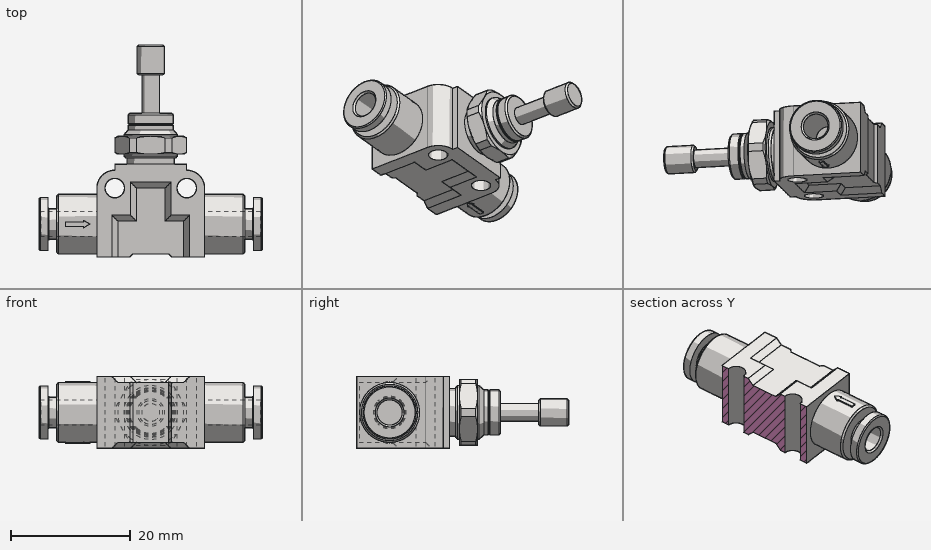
import cadquery as cq
import math


body_half_width = 9.0
body_thickness = 12.0
body_half_thickness = body_thickness / 2
body_front_y = -5.5
mount_hole_diameter = 3.2
mount_hole_x = 6.0
mount_hole_y = 6.0
corner_radius = body_half_width - mount_hole_x
shoulder_y = mount_hole_y + corner_radius
neck_face_y = 10.0
front_notch_half_width = 3.5
front_notch_depth = 0.5

recess_depth = 1.0
recess_stem_half_width = 3.4
recess_stem_top_y = 7.0
recess_foot_half_width = 6.5
recess_foot_top_y = 1.5

port_radius = 5.0
port_end_x = 15.7
port_chamfer = 0.3
ring_outer_x = 18.6
ring_thickness = 1.5
ring_radius = 4.45
ring_chamfer = 0.2
ring_root_chamfer = 0.15
sleeve_radius = 2.575
bore_radius = 2.1
bore_mouth_radius = 2.4

arrow_tail_x = -14.2
arrow_neck_x = -11.2
arrow_tip_x = -10.15
arrow_shaft_half_width = 0.38
arrow_head_half_width = 0.62
arrow_height = 0.2

neck_radius = 4.0
collar_y = 11.0
collar_radius = 4.5
collar_chamfer = 0.35
collar_cone_start_y = 14.9
collar_cone_end_y = 15.7
cap_radius = 3.8
cap_top_y = 18.5
cap_chamfer = 0.3
groove_start_y = 16.4
groove_width = 0.35
groove_depth = 0.15
rod_radius = 1.5
knob_start_y = 24.85
knob_end_y = 29.89
knob_radius = 2.3
knob_chamfer = 0.3

nut_start_y = 11.65
nut_thickness = 3.0
nut_sides = 6
nut_across_flats = 11.0
nut_corner_radius = 6.0
nut_bevel_angle = 30.0


def make_body():
    """Block with rounded shoulders, a raised neck face and a shallow notch in the -Y face."""
    notch_floor_half_width = front_notch_half_width - front_notch_depth
    notch_floor_y = body_front_y + front_notch_depth
    block = (
        cq.Workplane("XY", origin=(0, 0, -body_half_thickness))
        .moveTo(-body_half_width, body_front_y)
        .lineTo(-front_notch_half_width, body_front_y)
        .lineTo(-notch_floor_half_width, notch_floor_y)
        .lineTo(notch_floor_half_width, notch_floor_y)
        .lineTo(front_notch_half_width, body_front_y)
        .lineTo(body_half_width, body_front_y)
        .lineTo(body_half_width, mount_hole_y)
        .radiusArc((mount_hole_x, shoulder_y), -corner_radius)
        .lineTo(mount_hole_x, neck_face_y)
        .lineTo(-mount_hole_x, neck_face_y)
        .lineTo(-mount_hole_x, shoulder_y)
        .radiusArc((-body_half_width, mount_hole_y), -corner_radius)
        .close()
        .extrude(body_thickness)
    )
    holes = (
        cq.Workplane("XY", origin=(0, 0, -body_half_thickness))
        .pushPoints([(-mount_hole_x, mount_hole_y), (mount_hole_x, mount_hole_y)])
        .circle(mount_hole_diameter / 2)
        .extrude(body_thickness)
    )
    return block.cut(holes)


def tapered_prism(half_width, top_y):
    """Recess cutter reaching past the -Y face; its side and +Y walls slope inward at 45 degrees."""
    length_y = 2 * (top_y - body_front_y)
    return (
        cq.Workplane("XY", origin=(0, top_y - length_y / 2, body_half_thickness))
        .rect(2 * half_width, length_y)
        .workplane(offset=-recess_depth)
        .rect(2 * (half_width - recess_depth), length_y - 2 * recess_depth)
        .loft(ruled=True)
    )


def make_recess():
    """T-shaped cutter for the +Z face."""
    stem = tapered_prism(recess_stem_half_width, recess_stem_top_y)
    foot = tapered_prism(recess_foot_half_width, recess_foot_top_y)
    return stem.union(foot)


def make_port():
    """Port on the +X side: barrel, release sleeve and flanged ring, turned about X.

    The bore is bottomed by the side face of the block.
    """
    ring_inner_x = ring_outer_x - ring_thickness
    bore_chamfer = bore_mouth_radius - bore_radius
    return (
        cq.Workplane("XY")
        .moveTo(body_half_width, bore_radius)
        .lineTo(body_half_width, port_radius)
        .lineTo(port_end_x - port_chamfer, port_radius)
        .lineTo(port_end_x, port_radius - port_chamfer)
        .lineTo(port_end_x, sleeve_radius)
        .lineTo(ring_inner_x - ring_root_chamfer, sleeve_radius)
        .lineTo(ring_inner_x, sleeve_radius + ring_root_chamfer)
        .lineTo(ring_inner_x, ring_radius)
        .lineTo(ring_outer_x - ring_chamfer, ring_radius)
        .lineTo(ring_outer_x, ring_radius - ring_chamfer)
        .lineTo(ring_outer_x, bore_mouth_radius)
        .lineTo(ring_outer_x - bore_chamfer, bore_radius)
        .close()
        .revolve(360, (0, 0, 0), (1, 0, 0))
    )


def make_arrow():
    """Flow arrow pointing to +X, standing on the +Z side of the left port."""
    root_z = port_radius - arrow_height
    return (
        cq.Workplane("XY", origin=(0, 0, root_z))
        .moveTo(arrow_tail_x, -arrow_shaft_half_width)
        .lineTo(arrow_neck_x, -arrow_shaft_half_width)
        .lineTo(arrow_neck_x, -arrow_head_half_width)
        .lineTo(arrow_tip_x, 0)
        .lineTo(arrow_neck_x, arrow_head_half_width)
        .lineTo(arrow_neck_x, arrow_shaft_half_width)
        .lineTo(arrow_tail_x, arrow_shaft_half_width)
        .close()
        .extrude(2 * arrow_height)
    )


def make_stem():
    """Neck, collar, grooved cap, rod and knob, turned about Y."""
    groove_radius = cap_radius - groove_depth
    return (
        cq.Workplane("XY")
        .moveTo(0, shoulder_y)
        .lineTo(neck_radius, shoulder_y)
        .lineTo(neck_radius, collar_y)
        .lineTo(collar_radius - collar_chamfer, collar_y)
        .lineTo(collar_radius, collar_y + collar_chamfer)
        .lineTo(collar_radius, collar_cone_start_y)
        .lineTo(cap_radius, collar_cone_end_y)
        .lineTo(cap_radius, groove_start_y)
        .lineTo(groove_radius, groove_start_y)
        .lineTo(groove_radius, groove_start_y + groove_width - groove_depth)
        .lineTo(cap_radius, groove_start_y + groove_width)
        .lineTo(cap_radius, cap_top_y - cap_chamfer)
        .lineTo(cap_radius - cap_chamfer, cap_top_y)
        .lineTo(rod_radius, cap_top_y)
        .lineTo(rod_radius, knob_start_y)
        .lineTo(knob_radius - knob_chamfer, knob_start_y)
        .lineTo(knob_radius, knob_start_y + knob_chamfer)
        .lineTo(knob_radius, knob_end_y - knob_chamfer)
        .lineTo(knob_radius - knob_chamfer, knob_end_y)
        .lineTo(0, knob_end_y)
        .close()
        .revolve(360, (0, 0, 0), (0, 1, 0))
    )


def make_nut():
    """Hexagon nut with flats facing +Z and -Z, its corners turned round and bevelled."""
    nut_end_y = nut_start_y + nut_thickness
    flat_radius = nut_across_flats / 2
    bevel_length = (nut_corner_radius - flat_radius) * math.tan(math.radians(nut_bevel_angle))
    hexagon = (
        cq.Workplane("XZ", origin=(0, nut_start_y, 0))
        .polygon(nut_sides, nut_across_flats, circumscribed=True)
        .extrude(-nut_thickness)
        .rotate((0, 0, 0), (0, 1, 0), 180 / nut_sides)
    )
    turned_blank = (
        cq.Workplane("XY")
        .moveTo(0, nut_start_y)
        .lineTo(flat_radius, nut_start_y)
        .lineTo(nut_corner_radius, nut_start_y + bevel_length)
        .lineTo(nut_corner_radius, nut_end_y - bevel_length)
        .lineTo(flat_radius, nut_end_y)
        .lineTo(0, nut_end_y)
        .close()
        .revolve(360, (0, 0, 0), (0, 1, 0))
    )
    return hexagon.intersect(turned_blank)


recess = make_recess()
port = make_port()
arrow = make_arrow()

body = make_body().cut(recess).cut(recess.mirror("XY"))
result = body.union(port).union(port.mirror("YZ"))
result = result.union(arrow).union(arrow.mirror("XY"))
result = result.union(make_stem()).union(make_nut())